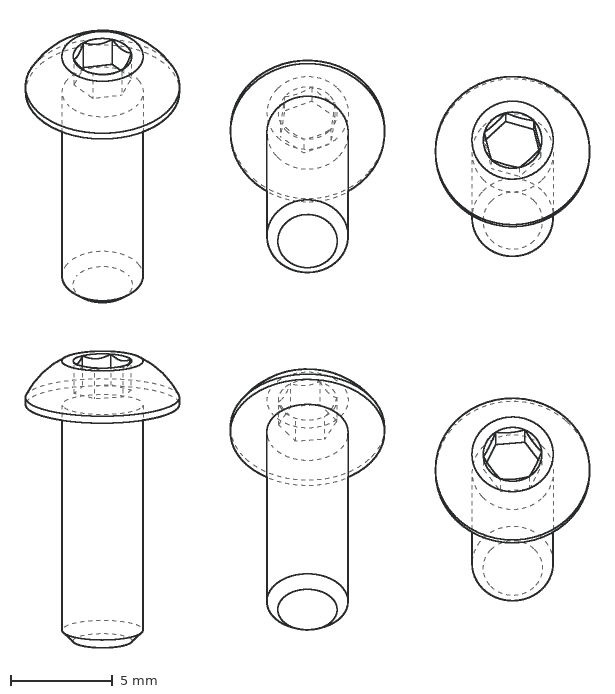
import cadquery as cq
import math

total_length = 14.2
head_diameter = 7.6
head_height = 2.2
rim_height = 0.35
head_flat_diameter = 4.0
shank_diameter = 4.0
tip_chamfer = 0.54
socket_across_flats = 2.5
socket_depth = 1.55
countersink_angle = 45.0

head_radius = head_diameter / 2
head_flat_radius = head_flat_diameter / 2
shank_radius = shank_diameter / 2
shank_length = total_length - head_height
socket_corner_diameter = socket_across_flats / math.cos(math.radians(30))
socket_corner_radius = socket_corner_diameter / 2

dome_center_z = (
    head_flat_radius**2 + head_height**2 - head_radius**2 - rim_height**2
) / (2 * (head_height - rim_height))
dome_radius = math.hypot(head_radius, rim_height - dome_center_z)
dome_mid_radius = (head_radius + head_flat_radius) / 2
dome_mid_z = dome_center_z + math.sqrt(dome_radius**2 - dome_mid_radius**2)


def make_body():
    """Revolve the half section of the head and the chamfered shank."""
    return (
        cq.Workplane("XZ")
        .moveTo(0, -shank_length)
        .lineTo(shank_radius - tip_chamfer, -shank_length)
        .lineTo(shank_radius, tip_chamfer - shank_length)
        .lineTo(shank_radius, 0)
        .lineTo(head_radius, 0)
        .lineTo(head_radius, rim_height)
        .threePointArc((dome_mid_radius, dome_mid_z), (head_flat_radius, head_height))
        .lineTo(0, head_height)
        .close()
        .revolve(360, (0, 0, 0), (0, 1, 0))
    )


def make_socket():
    """Flat-bottomed hexagon with two corners on the Y axis."""
    return (
        cq.Workplane("XY", origin=(0, 0, head_height))
        .transformed(rotate=(0, 0, 90))
        .polygon(6, socket_corner_diameter)
        .extrude(-socket_depth)
    )


def make_countersink():
    """Entry cone whose top circle passes through the hexagon corners."""
    cone_depth = socket_corner_radius * math.tan(math.radians(countersink_angle))
    return (
        cq.Workplane("XZ")
        .moveTo(0, head_height)
        .lineTo(socket_corner_radius, head_height)
        .lineTo(0, head_height - cone_depth)
        .close()
        .revolve(360, (0, 0, 0), (0, 1, 0))
    )


result = make_body().cut(make_socket()).cut(make_countersink())